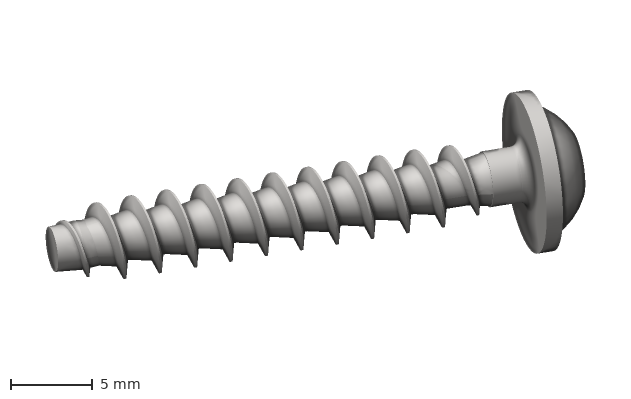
import cadquery as cq
import math

total_length = 33.3

flange_radius = 5.0
flange_thickness = 1.03
dome_top_radius = 2.15
dome_base_radius = 4.2
dome_height = 2.23
neck_radius = 1.73
neck_fillet = 0.63

core_radius = 1.4
tip_swell_radius = 1.53
tip_swell_height = 1.65
tip_swell_end = 3.33
shoulder_radius = 1.65
shoulder_length = 1.33

thread_length = 27.57
thread_turns = 12.25
pitch = thread_length / thread_turns
start_angle = 99.0
crest_radius = 2.5
tip_crest_radius = 1.35
neck_crest_radius = 1.85
tip_runout_turns = 1.5
neck_runout_turns = 1.0

crest_half_width = 0.05
upper_foot_radius = 1.45
upper_foot_offset = 0.35
lower_foot_radius = 1.65
lower_foot_offset = 0.4
ramp_end_radius = 1.35
ramp_end_offset = 1.85
root_radius = 1.15

thread_section = [
    (root_radius, upper_foot_offset),
    (upper_foot_radius, upper_foot_offset),
    (crest_radius, crest_half_width),
    (crest_radius, -crest_half_width),
    (lower_foot_radius, -lower_foot_offset),
    (ramp_end_radius, -ramp_end_offset),
    (root_radius, -ramp_end_offset),
]


def make_body():
    """Revolve the core, neck, flange and spherical dome in one profile."""
    dome_base = total_length - dome_height
    flange_bottom = dome_base - flange_thickness

    center_depth = (dome_base_radius**2 + dome_height**2 - dome_top_radius**2) / (2 * dome_height)
    sphere_radius = math.hypot(dome_top_radius, center_depth)
    mid_depth = dome_height / 2
    dome_mid_radius = math.sqrt(sphere_radius**2 - (center_depth - mid_depth) ** 2)

    profile = (
        cq.Workplane("XZ")
        .lineTo(core_radius, 0)
        .lineTo(tip_swell_radius, tip_swell_height)
        .lineTo(core_radius, tip_swell_end)
        .lineTo(core_radius, thread_length - shoulder_length)
        .lineTo(shoulder_radius, thread_length)
        .lineTo(neck_radius, thread_length)
        .lineTo(neck_radius, flange_bottom - neck_fillet)
        .radiusArc((neck_radius + neck_fillet, flange_bottom), neck_fillet)
        .lineTo(flange_radius, flange_bottom)
        .lineTo(flange_radius, dome_base)
        .lineTo(dome_base_radius, dome_base)
        .threePointArc((dome_mid_radius, total_length - mid_depth), (dome_top_radius, total_length))
        .lineTo(0, total_length)
        .close()
    )
    return profile.revolve(360, (0, 0, 0), (0, 1, 0))


def make_thread_segment(first_turn, turns, start_crest, end_crest):
    """Make a helical ridge whose section shifts radially from one crest radius to the other."""
    rise = turns * pitch
    taper = math.atan2(end_crest - start_crest, rise)
    cylindrical = 360.0
    cone_angle = math.degrees(taper) if taper else cylindrical
    helices = []
    for radius, offset in thread_section:
        helix = cq.Wire.makeHelix(
            pitch / math.cos(taper),
            rise / math.cos(taper),
            radius + start_crest - crest_radius,
            center=cq.Vector(0, 0, offset),
            angle=cone_angle,
        )
        helices.append(helix)

    faces = []
    for helix, next_helix in zip(helices, helices[1:] + helices[:1]):
        faces.append(cq.Face.makeRuledSurface(helix, next_helix))
    for position in (0, 1):
        corners = [helix.positionAt(position) for helix in helices]
        faces.append(cq.Face.makeFromWires(cq.Wire.makePolygon(corners, close=True)))

    segment = cq.Solid.makeSolid(cq.Shell.makeShell(faces))
    segment = segment.rotate((0, 0, 0), (0, 0, 1), start_angle + 360 * first_turn)
    return segment.translate((0, 0, first_turn * pitch))


full_turns = thread_turns - tip_runout_turns - neck_runout_turns
neck_runout_start = tip_runout_turns + full_turns
segments = [
    make_thread_segment(0, tip_runout_turns, tip_crest_radius, crest_radius),
    make_thread_segment(tip_runout_turns, full_turns, crest_radius, crest_radius),
    make_thread_segment(neck_runout_start, neck_runout_turns, crest_radius, neck_crest_radius),
]

screw = make_body()
for segment in segments:
    screw = screw.union(cq.Workplane(segment))

envelope = cq.Workplane("XY").circle(2 * flange_radius).extrude(2 * total_length)
screw = screw.intersect(envelope)

result = screw.rotate((0, 0, 0), (1, 0, 0), -90)